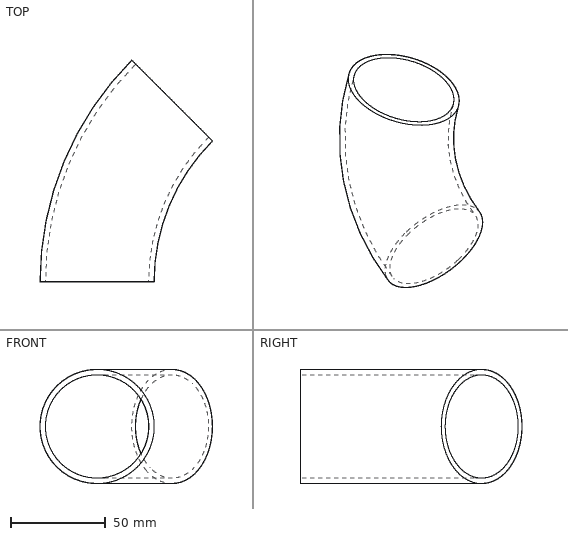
import cadquery as cq
import math

overall_length = 116.8
outer_diameter = 60.3
wall_thickness = 2.9
bend_angle = 45.0

outer_radius = outer_diameter / 2
inner_radius = outer_radius - wall_thickness

bend_radius = overall_length / math.sin(math.radians(bend_angle)) - outer_radius


def pipe_elbow():
    """Ring on the XZ plane, swept towards +Y and +X about a vertical axis."""
    ring = cq.Workplane("XZ").circle(outer_radius).circle(inner_radius)
    axis_start = (bend_radius, 0)
    axis_end = (bend_radius, -1)
    return ring.revolve(bend_angle, axis_start, axis_end)


result = pipe_elbow()